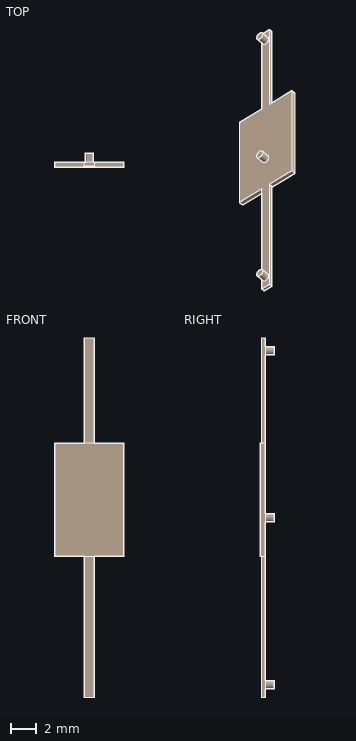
import cadquery as cq

TOTAL_LENGTH = 28.0
TOTAL_DEPTH = 1.1

PLATE_WIDTH = 5.4
PLATE_HEIGHT = 8.8
PLATE_THICKNESS = 0.4
PLATE_TOP_INSET = 8.2

STRIP_WIDTH = 0.8
STRIP_THICKNESS = 0.3
TIP_LENGTH = 2.0

PIN_DIAMETER = 0.65
PIN_LENGTH = TOTAL_DEPTH - PLATE_THICKNESS

TOP_Z = TOTAL_LENGTH / 2
PLATE_TOP_Z = TOP_Z - PLATE_TOP_INSET
PLATE_BOTTOM_Z = PLATE_TOP_Z - PLATE_HEIGHT
TIP_START_Z = TOP_Z - TIP_LENGTH
OUTER_PIN_Z = TOP_Z - TIP_LENGTH / 2


def slab(width, thickness, bottom_z, top_z):
    """Block centred on X with its back face on Y = 0."""
    block = cq.Workplane("XY").box(width, thickness, top_z - bottom_z, centered=(True, False, False))
    return block.translate((0, -thickness, bottom_z))


def strip_section(bottom_z, top_z):
    """Length of the narrow strip."""
    return slab(STRIP_WIDTH, STRIP_THICKNESS, bottom_z, top_z)


def pin(z):
    """Round pin rising in +Y from the back face."""
    return cq.Workplane("XZ").center(0, z).circle(PIN_DIAMETER / 2).extrude(-PIN_LENGTH)


result = slab(PLATE_WIDTH, PLATE_THICKNESS, PLATE_BOTTOM_Z, PLATE_TOP_Z)

strip_spans = [
    (PLATE_TOP_Z, TIP_START_Z),
    (TIP_START_Z, TOP_Z),
    (-TIP_START_Z, PLATE_BOTTOM_Z),
    (-TOP_Z, -TIP_START_Z),
]
for span_bottom_z, span_top_z in strip_spans:
    result = result.union(strip_section(span_bottom_z, span_top_z), clean=False)

for pin_z in (-OUTER_PIN_Z, 0, OUTER_PIN_Z):
    result = result.union(pin(pin_z), clean=False)